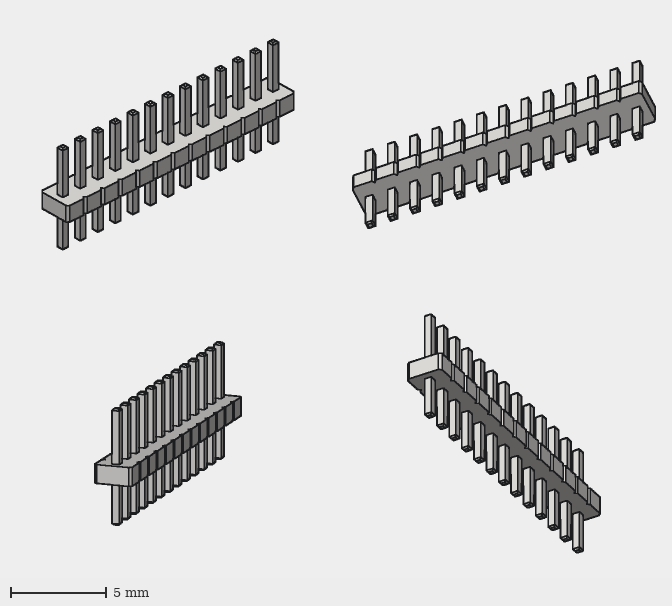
import cadquery as cq

pin_count = 13
row_length = 16.51
pitch = row_length / pin_count

body_width = 2.1
body_height = 1.02
notch_depth = 0.15
notch_half_width = 0.124

pin_side = 0.41
pin_above_body = 2.99
pin_below_body = 2.3
pin_length = pin_below_body + body_height + pin_above_body
tip_chamfer = 0.09


def make_cell(center_y):
    """One insulator cell: a block whose four vertical edges are bevelled."""
    half_width = body_width / 2
    half_pitch = pitch / 2
    neck = half_width - notch_depth
    shoulder = half_pitch - notch_half_width
    outline = [
        (-neck, -half_pitch),
        (neck, -half_pitch),
        (half_width, -shoulder),
        (half_width, shoulder),
        (neck, half_pitch),
        (-neck, half_pitch),
        (-half_width, shoulder),
        (-half_width, -shoulder),
    ]
    return (
        cq.Workplane("XY")
        .center(0, center_y)
        .polyline(outline)
        .close()
        .extrude(body_height)
    )


def make_pin(center_y):
    """One square pin through the bar, chamfered around both tips."""
    return (
        cq.Workplane("XY", origin=(0, center_y, -pin_below_body))
        .rect(pin_side, pin_side)
        .extrude(pin_length)
        .faces("<Z or >Z")
        .chamfer(tip_chamfer)
    )


first_pin_y = -(row_length - pitch) / 2
result = cq.Workplane("XY")
for index in range(pin_count):
    pin_y = first_pin_y + index * pitch
    result = result.union(make_cell(pin_y)).union(make_pin(pin_y))
result = result.clean()